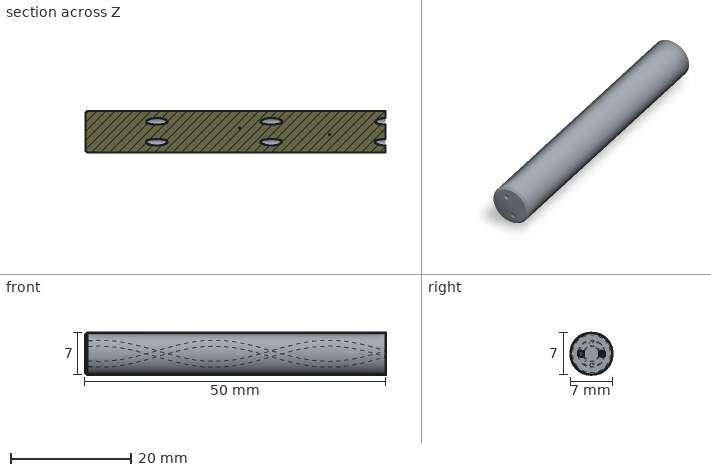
import cadquery as cq
import math

ROD_LENGTH = 50.0
ROD_DIAMETER = 7.0
CHAMFER = 0.35

CHANNEL_COUNT = 2
CHANNEL_DIAMETER = 1.0
CHANNEL_CIRCLE_DIAMETER = ROD_DIAMETER / 2
HELIX_ANGLE = 30.0
HELIX_LEAD = math.pi * ROD_DIAMETER / math.tan(math.radians(HELIX_ANGLE))
CHANNEL_TWIST = 360.0 * ROD_LENGTH / HELIX_LEAD
START_ANGLE = -CHANNEL_TWIST


def make_rod():
    """Round rod with a chamfer around the end at X = 0."""
    rod = cq.Workplane("YZ").circle(ROD_DIAMETER / 2).extrude(ROD_LENGTH)
    return rod.faces("<X").chamfer(CHAMFER)


def make_channels():
    """Right-hand helical channels, equally spaced around the rod axis."""
    return (
        cq.Workplane("YZ")
        .polarArray(CHANNEL_CIRCLE_DIAMETER / 2, START_ANGLE, 360.0, CHANNEL_COUNT)
        .circle(CHANNEL_DIAMETER / 2)
        .twistExtrude(ROD_LENGTH, CHANNEL_TWIST)
    )


result = make_rod().cut(make_channels())